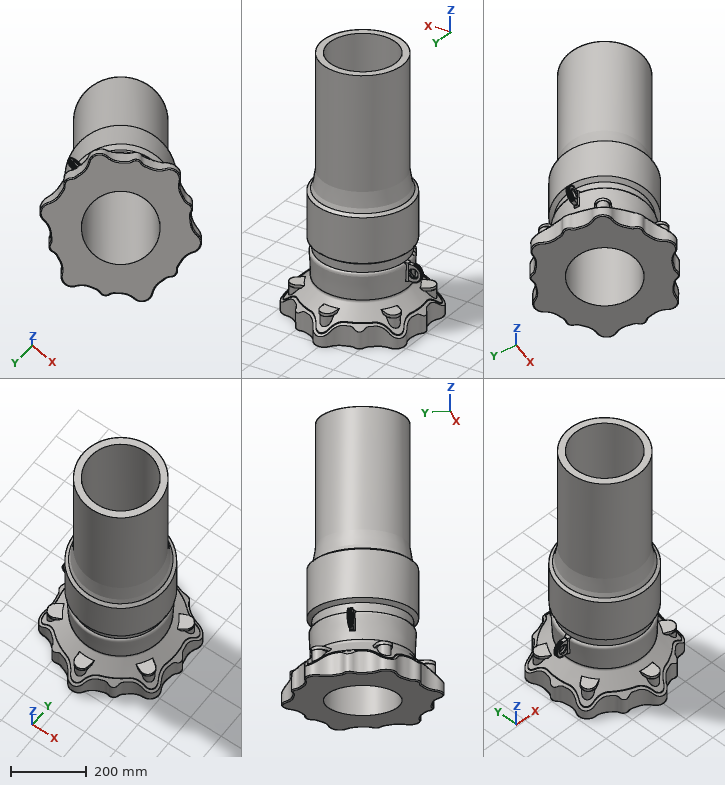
import cadquery as cq
import math

total_height = 790.0
bore_diameter = 208.0
pipe_radius = 250.0 / 2
neck_radius = 270.0 / 2
collar_radius = 296.0 / 2
skirt_cone_sum = 248.0
skirt_top_radius = 140.0
band_bottom_radius, band_bottom_z = 139.0, 118.0
band_top_radius, band_top_z = 142.0, 189.0
neck_bottom_z = 199.0
neck_top_z = 224.0
collar_bottom_z = 234.0
collar_top_z = 372.0
collar_shoulder_radius, collar_shoulder_z = 138.0, 379.0
taper_bottom_radius, taper_bottom_z = 133.0, 391.0
taper_top_z = 437.0

lobe_count = 6
sector_angle = 360 / lobe_count
first_lobe_angle = 90
valley_radius = 187.0
main_tip_radius, main_nose_radius = 437.0 / 2, 30.0
main_blend_angle = 17.7
minor_tip_radius, minor_nose_radius = 396.0 / 2, 18.0
minor_blend_angle = 8.2
base_chamfer = 3.0
rim_width = 8.0
rim_step = 3.0
skirt_radius = main_tip_radius + 8.0

peg_top_z = 93.0
cap_bottom_z = 84.0
peg_root_z = 39.5
peg_root_radius = 134.0
peg_outer_radius = 196.0
cap_nose_radius = 22.0
cap_root_half_width = 26.0
stem_nose_radius = 17.0

eye_x = -163.0
eye_radius = 13.0
eye_chamfer = 2.0
lug_round_x = -159.5
lug_radius = 25.0
lug_thickness = 11.0
rib_height = 2.0
rib_width = 2.0
rib_count = 16
rib_arc = 160
lug_root_x = -130.0
pad_face_x = -147.0
pad_height = 57.0
eye_z = neck_bottom_z - pad_height / 2
pad_root_width = 24.0


def polar(radius, degrees):
    angle = math.radians(degrees)
    return radius * math.cos(angle), radius * math.sin(angle)


def lobe_points(axis_angle, tip_radius, nose_radius, base_radius, blend_angle):
    """Seven points of one lobe: blend arc, nose arc, blend arc; both blends are tangent at each end."""
    nose_centre = tip_radius - nose_radius
    cosine = math.cos(math.radians(blend_angle))
    blend_radius = (
        (base_radius**2 - 2 * base_radius * nose_centre * cosine + nose_centre**2 - nose_radius**2)
        / (2 * (nose_radius - base_radius + nose_centre * cosine))
    )
    blend_x, blend_y = polar(base_radius + blend_radius, blend_angle)
    nose_angle = math.degrees(math.atan2(blend_y, blend_x - nose_centre))
    touch_x, touch_y = polar(nose_radius, nose_angle)
    touch = (nose_centre + touch_x, touch_y)
    middle_x, middle_y = polar(blend_radius, 180 + (nose_angle + blend_angle) / 2)
    middle = (blend_x + middle_x, blend_y + middle_y)
    start = polar(base_radius, blend_angle)

    upper_half = [touch, middle, start]
    lower_half = [(x, -y) for x, y in reversed(upper_half)]
    points = lower_half + [(tip_radius, 0)] + upper_half
    return [
        polar(math.hypot(x, y), math.degrees(math.atan2(y, x)) + axis_angle)
        for x, y in points
    ]


def lobed_outline(lobes):
    """Closed outline of lobes, given as (points, middle angle of the valley that follows)."""
    outline = cq.Workplane("XY").moveTo(*lobes[0][0][0])
    for index, (points, valley_angle) in enumerate(lobes):
        for middle, end in zip(points[1::2], points[2::2]):
            outline = outline.threePointArc(middle, end)
        next_start = lobes[(index + 1) % len(lobes)][0][0]
        base_radius = math.hypot(*next_start)
        outline = outline.threePointArc(polar(base_radius, valley_angle), next_start)
    return outline.close()


def main_lobe(axis_angle, inset=0.0):
    return lobe_points(
        axis_angle,
        main_tip_radius - inset,
        main_nose_radius - inset,
        valley_radius - inset,
        main_blend_angle,
    )


def grip_outline():
    half_sector = sector_angle / 2
    valley_middle = (main_blend_angle + half_sector - minor_blend_angle) / 2
    lobes = []
    for index in range(lobe_count):
        main_angle = first_lobe_angle + index * sector_angle
        lobes.append((main_lobe(main_angle), main_angle + valley_middle))
        minor = lobe_points(
            main_angle + half_sector, minor_tip_radius, minor_nose_radius, valley_radius, minor_blend_angle
        )
        lobes.append((minor, main_angle + sector_angle - valley_middle))
    return lobed_outline(lobes)


def rim_inner_outline():
    """Runs parallel to the main lobes and passes the minor lobes by."""
    lobes = []
    for index in range(lobe_count):
        main_angle = first_lobe_angle + index * sector_angle
        lobes.append((main_lobe(main_angle, rim_width), main_angle + sector_angle / 2))
    return lobed_outline(lobes)


def rim_inner_prism():
    return rim_inner_outline().extrude(total_height)


def raised_rim():
    """The scalloped edge of the base, standing a little above the skirt."""
    rim_cone_sum = skirt_cone_sum + rim_step
    cone = (
        cq.Workplane("XZ")
        .lineTo(skirt_radius, 0)
        .lineTo(skirt_radius, rim_cone_sum - skirt_radius)
        .lineTo(0, rim_cone_sum)
        .close()
        .revolve(360, (0, 0), (0, 1))
    )
    grip = grip_outline().extrude(total_height).faces("<Z").chamfer(base_chamfer)
    return cone.intersect(grip).cut(rim_inner_prism())


def turned_body():
    """Everything turned, with the skirt trimmed to the inner side of the rim."""
    skirt_top_z = skirt_cone_sum - skirt_top_radius
    profile = (
        cq.Workplane("XZ")
        .lineTo(skirt_radius, 0)
        .lineTo(skirt_radius, skirt_cone_sum - skirt_radius)
        .lineTo(skirt_top_radius, skirt_top_z)
        .tangentArcPoint((band_bottom_radius, band_bottom_z), relative=False)
        .lineTo(band_top_radius, band_top_z)
        .tangentArcPoint((neck_radius, neck_bottom_z), relative=False)
        .lineTo(neck_radius, neck_top_z)
        .lineTo(collar_radius, collar_bottom_z)
        .lineTo(collar_radius, collar_top_z)
        .lineTo(collar_shoulder_radius, collar_shoulder_z)
        .lineTo(taper_bottom_radius, taper_bottom_z)
        .lineTo(pipe_radius, taper_top_z)
        .lineTo(pipe_radius, total_height)
        .lineTo(0, total_height)
        .close()
    )
    return profile.revolve(360, (0, 0), (0, 1)).intersect(rim_inner_prism())


def peg_part(nose_radius, root_half_width, bottom_z, top_z):
    """A round-nosed block pointing along +X."""
    nose_x = peg_outer_radius - nose_radius
    return (
        cq.Workplane("XY", origin=(0, 0, bottom_z))
        .moveTo(peg_root_radius, -root_half_width)
        .lineTo(nose_x, -nose_radius)
        .threePointArc((peg_outer_radius, 0), (nose_x, nose_radius))
        .lineTo(peg_root_radius, root_half_width)
        .close()
        .extrude(top_z - bottom_z)
    )


def peg():
    cap = peg_part(cap_nose_radius, cap_root_half_width, cap_bottom_z, peg_top_z)
    stem = peg_part(stem_nose_radius, stem_nose_radius, peg_root_z, peg_top_z)
    return cap.union(stem)


def lug():
    plate = (
        cq.Workplane("XZ", origin=(0, lug_thickness / 2, 0))
        .moveTo(lug_root_x, eye_z - lug_radius)
        .lineTo(lug_round_x, eye_z - lug_radius)
        .threePointArc((lug_round_x - lug_radius, eye_z), (lug_round_x, eye_z + lug_radius))
        .lineTo(lug_root_x, eye_z + lug_radius)
        .close()
        .extrude(lug_thickness)
    )
    pad = (
        cq.Workplane("XY", origin=(0, 0, eye_z - pad_height / 2))
        .moveTo(pad_face_x, -lug_thickness / 2)
        .lineTo(lug_root_x, -pad_root_width / 2)
        .lineTo(lug_root_x, pad_root_width / 2)
        .lineTo(pad_face_x, lug_thickness / 2)
        .close()
        .extrude(pad_height)
    )
    body = plate.union(pad)
    for index in range(rib_count):
        angle = (index / (rib_count - 1) - 0.5) * rib_arc
        rib = (
            cq.Workplane("XY")
            .box(2 * rib_height, lug_thickness, rib_width)
            .translate((-lug_radius, 0, 0))
            .rotate((0, 0, 0), (0, 1, 0), angle)
            .translate((lug_round_x, 0, eye_z))
        )
        body = body.union(rib)
    return body


def eye_cutter():
    """Revolved about the eye axis, widening to a chamfer at both faces of the lug."""
    half = lug_thickness / 2
    return (
        cq.Workplane("XY", origin=(eye_x, 0, eye_z))
        .moveTo(0, -half)
        .lineTo(eye_radius + eye_chamfer, -half)
        .lineTo(eye_radius, -half + eye_chamfer)
        .lineTo(eye_radius, half - eye_chamfer)
        .lineTo(eye_radius + eye_chamfer, half)
        .lineTo(0, half)
        .close()
        .revolve(360, (0, 0), (0, 1))
    )


result = turned_body().union(raised_rim()).union(lug()).cut(eye_cutter())
for index in range(lobe_count):
    result = result.union(peg().rotate((0, 0, 0), (0, 0, 1), first_lobe_angle + index * sector_angle))
bore = cq.Workplane("XY").circle(bore_diameter / 2).extrude(total_height)
result = result.cut(bore)